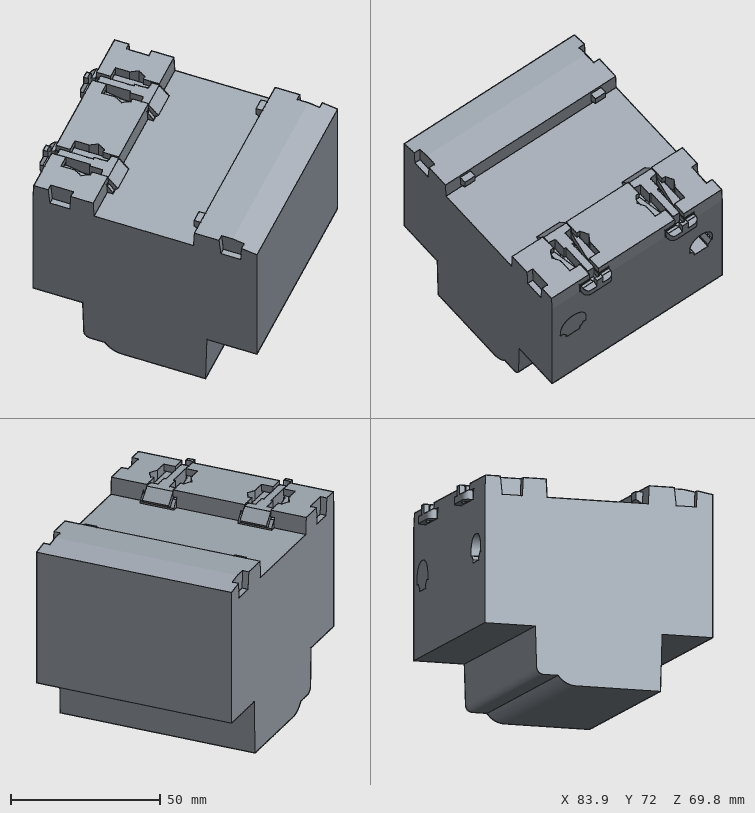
import cadquery as cq
import math


TOTAL_LENGTH = 83.9
DEPTH = 80.9
WIDTH = 72.0
HEIGHT = 69.8
RAIL_FLOOR_Z = 63.6
SHELF_Z = 19.5
CHANNEL_START_X = 22.15
CHANNEL_END_X = 58.0
DRAFT = 0.3
SLOPE_START_X = 71.3
SLOPE_END_Z = 68.2
BLOCK_START_X = 17.95
BLOCK_END_X = 62.8
BLOCK_DRAFT = 0.5
STEP_Z = 3.2
STEP_END_X = 26.0
STEP_FILLET = 2.4
NOSE_RADIUS = 7.6

NOTCH_STARTS = (5.5, 67.2)
NOTCH_LENGTH = 8.1
NOTCH_START_LEAN = 0.7
NOTCH_END_LEAN = 0.3
NOTCH_DEPTH = 2.35
NOTCH_BACK_LEAN = 0.2

STOP_TIP_X = 55.7
STOP_TOP_Z = 68.8
STOP_LIP_Z = 66.1
STOP_ROOT_Z = 64.6
STOP_Y = 27.6
STOP_WIDTH = 4.4

OPENING_Y = 27.0
OPENING_CENTER_Z = 46.65
OPENING_DEPTH = 5.5
PLUG_RADIUS = 5.45
RECESS_RADIUS = 4.8
LEDGE_Z = 44.6
LEDGE_HALF = 4.3
FOOT_HALF = 2.85
FOOT_Z = 41.95
FOOT_TOP_Z = 42.95

CLIP_Y = 18.0
CLIP_TOP_Z = 69.2
PLATE_TOP_Z = 66.6
PLATE_HALF = 5.95
SLOT_HALF = 1.9
TIP_HALF = 4.9
TIP_START_X = 18.8

TUNNEL_HALF = 6.2
TUNNEL_TOP_Z = 67.3
POCKET_START_X = 5.45
BULGE_HALF = 7.8
BULGE_START_X = 10.6
BULGE_PEAK_X = 13.25
POCKET_END_X = 16.0

GAP_FLOOR_Z = 64.0
GAP_START_HALF = 2.35
GAP_END_X = 15.6
GAP_END_HALF = 4.2
WINDOW_END_LEAN = 0.3

BAR_START_X = 1.9
BAR_HALF = 1.35
BAR_WIDE_HALF = 2.1
BAR_STEP_X = 14.0

TIP_SLOPE_X = 21.8
TIP_END = (25.4, 65.4)
TIP_LOWER = (24.2, 64.2)

HEAD_LENGTH = TOTAL_LENGTH - DEPTH
HEAD_HALF = 5.9
HEAD_TOP_Z = 66.95
HEAD_FRONT_Z = 65.9
HEAD_SLOPE = 1.8
HEAD_CORNER = 2.0
POST_HALF = 1.3
FINGER_HOLE_RADIUS = 1.8


def side_profile(points, half_width):
    """Extrude an XZ outline to both sides of Y = 0."""
    return cq.Workplane("XZ").polyline(points).close().extrude(half_width, both=True)


def plan_block(points, bottom, top):
    """Extrude an XY outline from one height to another."""
    return cq.Workplane("XY").workplane(offset=bottom).polyline(points).close().extrude(top - bottom)


def box(x_start, x_end, half_width, bottom, top):
    """A block centred on Y = 0."""
    corners = [(x_start, -half_width), (x_end, -half_width), (x_end, half_width), (x_start, half_width)]
    return plan_block(corners, bottom, top)


def mirrored(points):
    """Close a half outline, given from front to back at +Y, with its mirror image."""
    return points + [(x, -y) for x, y in reversed(points)]


def housing_block():
    nose_end_x = STEP_END_X + math.sqrt(NOSE_RADIUS**2 - (NOSE_RADIUS - STEP_Z) ** 2)
    step_angle = math.asin((NOSE_RADIUS - STEP_Z) / NOSE_RADIUS)
    mid_angle = (step_angle + math.pi / 2) / 2
    nose_middle = (
        nose_end_x - NOSE_RADIUS * math.cos(mid_angle),
        NOSE_RADIUS * (1 - math.sin(mid_angle)),
    )
    block = (
        cq.Workplane("XZ")
        .moveTo(0, SHELF_Z)
        .lineTo(0, RAIL_FLOOR_Z)
        .lineTo(DRAFT, HEIGHT)
        .lineTo(CHANNEL_START_X - DRAFT, HEIGHT)
        .lineTo(CHANNEL_START_X, RAIL_FLOOR_Z)
        .lineTo(CHANNEL_END_X, RAIL_FLOOR_Z)
        .lineTo(CHANNEL_END_X + DRAFT, HEIGHT)
        .lineTo(SLOPE_START_X, HEIGHT)
        .lineTo(DEPTH, SLOPE_END_Z)
        .lineTo(DEPTH, SHELF_Z)
        .lineTo(BLOCK_END_X, SHELF_Z)
        .lineTo(BLOCK_END_X - BLOCK_DRAFT, 0)
        .lineTo(nose_end_x, 0)
        .threePointArc(nose_middle, (STEP_END_X, STEP_Z))
        .lineTo(BLOCK_START_X + BLOCK_DRAFT, STEP_Z)
        .lineTo(BLOCK_START_X, SHELF_Z)
        .close()
        .extrude(WIDTH / 2, both=True)
    )
    corner = cq.selectors.NearestToPointSelector((BLOCK_START_X + BLOCK_DRAFT, 0, STEP_Z))
    return block.edges("|Y").edges(corner).fillet(STEP_FILLET)


def edge_notch(start_x):
    """Cutter for one notch in the top edge on the -Y side."""
    floor_length = NOTCH_LENGTH - NOTCH_START_LEAN - NOTCH_END_LEAN
    floor_depth = NOTCH_DEPTH - NOTCH_BACK_LEAN
    return (
        cq.Workplane("XY", origin=(start_x, -WIDTH / 2, RAIL_FLOOR_Z))
        .moveTo(NOTCH_START_LEAN, 0)
        .rect(floor_length, floor_depth, centered=False)
        .workplane(offset=HEIGHT - RAIL_FLOOR_Z)
        .rect(NOTCH_LENGTH, NOTCH_DEPTH, centered=False)
        .loft(ruled=True)
    )


def rail_stop(y):
    """Hooked stop on the far wall of the rail channel, rooted in the wall."""
    root_x = CHANNEL_END_X + DRAFT
    points = [
        (root_x, STOP_TOP_Z),
        (STOP_TIP_X, STOP_TOP_Z),
        (STOP_TIP_X, STOP_LIP_Z),
        (root_x, STOP_ROOT_Z),
    ]
    return side_profile(points, STOP_WIDTH / 2).translate((0, y, 0))


def opening_fill(y, radius):
    """Round shape with a narrower stepped foot, filling one opening of the front face."""
    return (
        cq.Workplane("YZ", origin=(0, y, 0))
        .moveTo(-radius, OPENING_CENTER_Z)
        .threePointArc((0, OPENING_CENTER_Z + radius), (radius, OPENING_CENTER_Z))
        .lineTo(radius, LEDGE_Z)
        .lineTo(LEDGE_HALF, LEDGE_Z)
        .lineTo(FOOT_HALF, FOOT_TOP_Z)
        .lineTo(FOOT_HALF, FOOT_Z)
        .lineTo(-FOOT_HALF, FOOT_Z)
        .lineTo(-FOOT_HALF, FOOT_TOP_Z)
        .lineTo(-LEDGE_HALF, LEDGE_Z)
        .lineTo(-radius, LEDGE_Z)
        .close()
        .extrude(OPENING_DEPTH)
    )


def clip_pocket():
    """Cutter for the tunnel, slot and pocket of the housing that hold one clip."""
    opening = mirrored([
        (POCKET_START_X, TUNNEL_HALF),
        (BULGE_START_X, TUNNEL_HALF),
        (BULGE_PEAK_X, BULGE_HALF),
        (POCKET_END_X, TUNNEL_HALF),
    ])
    tunnel = box(0, CHANNEL_START_X, TUNNEL_HALF, RAIL_FLOOR_Z, TUNNEL_TOP_Z)
    pocket = plan_block(opening, RAIL_FLOOR_Z, HEIGHT)
    slot = box(0, POCKET_START_X, SLOT_HALF, RAIL_FLOOR_Z, HEIGHT)
    tip_way = box(POCKET_END_X, CHANNEL_START_X, TIP_HALF, RAIL_FLOOR_Z, HEIGHT)
    return tunnel.union(pocket).union(slot).union(tip_way)


def clip_gap():
    """Cutter for the slot at the front of the clip, which widens between the side arms."""
    outline = mirrored([
        (0, SLOT_HALF),
        (POCKET_START_X, SLOT_HALF),
        (POCKET_START_X, GAP_START_HALF),
        (GAP_END_X, GAP_END_HALF),
    ])
    return plan_block(outline, GAP_FLOOR_Z, PLATE_TOP_Z)


def clip_windows():
    """Cutter for the two windows through the clip between the gap and the solid tip."""
    window = [
        (GAP_END_X, BAR_WIDE_HALF),
        (GAP_END_X, GAP_END_HALF),
        (TIP_START_X + WINDOW_END_LEAN, TIP_HALF),
        (TIP_START_X, BAR_WIDE_HALF),
    ]
    cutter = plan_block(window, RAIL_FLOOR_Z, CLIP_TOP_Z)
    return cutter.union(cutter.mirror("XZ"))


def clip_tip():
    """Raised end of the clip that slopes down over the rail channel, and the base below it."""
    tip = side_profile(
        [
            (TIP_START_X, PLATE_TOP_Z),
            (TIP_START_X, CLIP_TOP_Z),
            (TIP_SLOPE_X, CLIP_TOP_Z),
            TIP_END,
            TIP_LOWER,
            (CHANNEL_START_X, PLATE_TOP_Z),
        ],
        TIP_HALF,
    )
    base = side_profile(
        [
            (TIP_START_X, RAIL_FLOOR_Z),
            (TIP_START_X, PLATE_TOP_Z),
            (CHANNEL_START_X, PLATE_TOP_Z),
            TIP_LOWER,
            (TIP_LOWER[0], RAIL_FLOOR_Z),
        ],
        TUNNEL_HALF,
    )
    return tip.union(base)


def clip_head():
    """Finger grip in front of the housing, with a middle post and a half-round hole."""
    grip = side_profile(
        [
            (0, RAIL_FLOOR_Z),
            (0, HEAD_TOP_Z),
            (HEAD_SLOPE - HEAD_LENGTH, HEAD_TOP_Z),
            (-HEAD_LENGTH, HEAD_FRONT_Z),
            (-HEAD_LENGTH, RAIL_FLOOR_Z),
        ],
        HEAD_HALF,
    )
    grip = grip.edges("|Z and <X").fillet(HEAD_CORNER)
    post = box(-HEAD_LENGTH, 0, POST_HALF, RAIL_FLOOR_Z, CLIP_TOP_Z)
    hole = (
        cq.Workplane("XY")
        .workplane(offset=RAIL_FLOOR_Z)
        .circle(FINGER_HOLE_RADIUS)
        .extrude(HEIGHT - RAIL_FLOOR_Z)
    )
    return grip.union(post).cut(hole)


def make_clip(y):
    plate = box(0, TIP_START_X, PLATE_HALF, RAIL_FLOOR_Z, PLATE_TOP_Z)
    bar = box(BAR_START_X, BAR_STEP_X, BAR_HALF, GAP_FLOOR_Z, CLIP_TOP_Z)
    wide_bar = box(BAR_STEP_X, TIP_START_X, BAR_WIDE_HALF, GAP_FLOOR_Z, CLIP_TOP_Z)
    clip = plate.cut(clip_gap()).union(bar).union(wide_bar).union(clip_tip())
    clip = clip.cut(clip_windows()).union(clip_head())
    return clip.translate((0, y, 0))


def make_housing():
    housing = housing_block()
    for start_x in NOTCH_STARTS:
        notch = edge_notch(start_x)
        housing = housing.cut(notch).cut(notch.mirror("XZ"))
    for y in (-STOP_Y, STOP_Y):
        housing = housing.union(rail_stop(y))
    for y in (-CLIP_Y, CLIP_Y):
        housing = housing.cut(clip_pocket().translate((0, y, 0)))
    housing = housing.cut(opening_fill(-OPENING_Y, RECESS_RADIUS))
    return housing.cut(opening_fill(OPENING_Y, PLUG_RADIUS))


housing = make_housing()
plug = opening_fill(OPENING_Y, PLUG_RADIUS)
clips = [make_clip(y) for y in (-CLIP_Y, CLIP_Y)]

result = cq.Compound.makeCompound([housing.val(), plug.val(), *[clip.val() for clip in clips]])